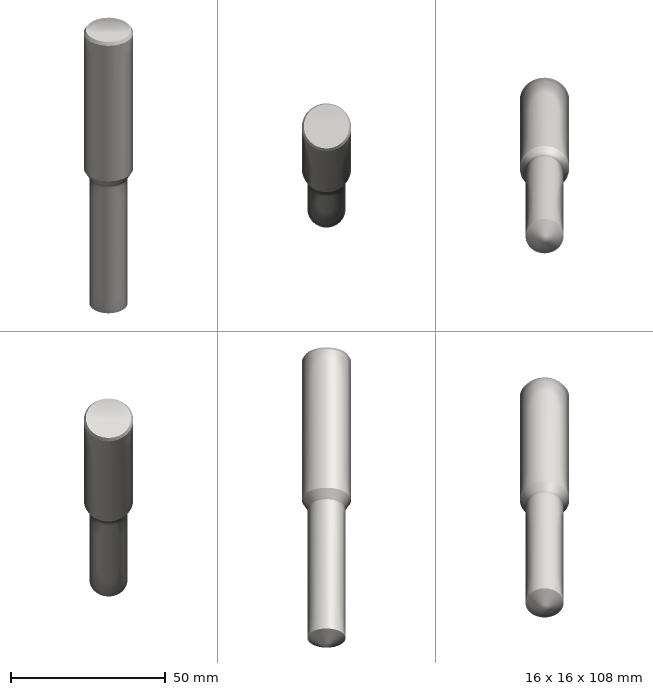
import cadquery as cq
import math

total_length = 108.0
shank_radius = 8.0
drill_radius = 6.2

neck_bottom = 50.9
neck_top = 52.0

tip_slope = math.radians(30)
shoulder_slope = math.radians(30)
chamfer_height = 1.1
chamfer_width = 0.6

tip_height = drill_radius * math.tan(tip_slope)
shank_bottom = neck_top + (shank_radius - drill_radius) / math.tan(shoulder_slope)


def revolve_profile(points):
    """Turn a closed (radius, height) outline about the Z axis."""
    return cq.Workplane("XZ").polyline(points).close().revolve(360, (0, 0), (0, 1))


def make_drill():
    """Round drill section ending in a conical point."""
    return revolve_profile([
        (0, 0),
        (drill_radius, tip_height),
        (drill_radius, neck_bottom),
        (0, neck_bottom),
    ])


def make_shank():
    """Shank with a short neck, a conical shoulder and a chamfered top end."""
    return revolve_profile([
        (0, neck_bottom),
        (drill_radius, neck_bottom),
        (drill_radius, neck_top),
        (shank_radius, shank_bottom),
        (shank_radius, total_length - chamfer_height),
        (shank_radius - chamfer_width, total_length),
        (0, total_length),
    ])


drill = make_drill()
shank = make_shank()

result = cq.Compound.makeCompound([drill.val(), shank.val()])